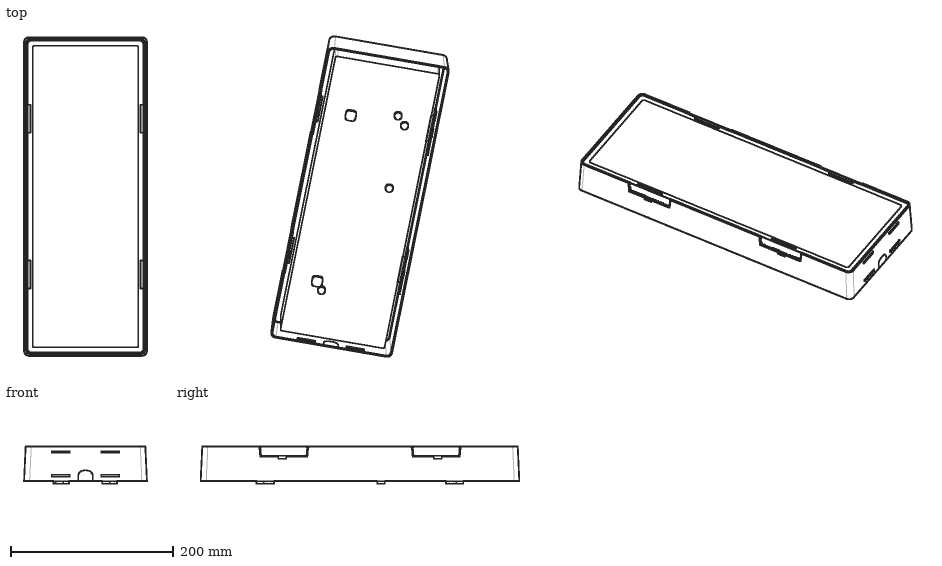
import cadquery as cq

length = 393.5
width = 152.0
height = 43.0
lean = 2.0
wall = 1.77
corner_radius = 6.5

lid_gap = 0.6
lid_thickness = 1.0
lid_width = width - 2 * (lean + wall + lid_gap)
lid_length = length - 2 * (lean + wall + lid_gap)
lid_radius = corner_radius - wall - lid_gap

notch_center = 94.0
notch_top_width = 60.5
notch_bottom_width = 58.3
notch_depth = 13.0
tab_gap = 1.0
tab_outer_x = 73.0
tab_thickness = 1.5
tab_inner_x = tab_outer_x - tab_thickness
tongue_center = 96.0
tongue_width = 10.2
tongue_depth = 15.5
tongue_setback = 0.5
slot_length = 34.2
slot_width = 3.0

vent_center_x = 30.7
vent_width = 22.5
vent_height = 2.5
vent_heights = (6.3, 36.0)
end_reach = 8.0
opening_width = 18.0
opening_height = 13.0
opening_radius = 7.0

core_width = 130.5
core_length = 372.5
core_radius = 2.5
foot_height = 3.5
round_foot_diameter = 9.5
round_foot_centers = [(-35.0, 111.5), (-24.8, 123.0), (-32.0, 26.0), (25.0, -123.0)]
square_foot_size = 13.0
square_foot_radius = 4.0
square_foot_centers = [(32.5, 112.5), (32.5, -112.5)]

clip_sides = [(side, end) for side in (-1, 1) for end in (-1, 1)]
lid_bottom = height - lid_thickness


def rounded_outline(size_x, size_y, radius):
    return cq.Sketch().rect(size_x, size_y).vertices().fillet(radius)


def leaning_block(inset):
    """Solid with the leaning outer sides, made smaller by an inset all around."""
    radius = corner_radius - inset
    bottom = rounded_outline(width - 2 * inset, length - 2 * inset, radius)
    top_inset = inset + lean
    top = rounded_outline(width - 2 * top_inset, length - 2 * top_inset, radius)
    raised_top = top.moved(cq.Location(cq.Vector(0, 0, height)))
    return cq.Workplane("XY").placeSketch(bottom, raised_top).loft()


def clip_bar(side, end, gap):
    """Bar along X with the tapered clip outline, smaller than the notch by the gap."""
    half_top = notch_top_width / 2 - gap
    half_bottom = notch_bottom_width / 2 - gap
    center = end * notch_center
    bottom = height - notch_depth + gap
    return (
        cq.Workplane("YZ")
        .polyline([
            (center - half_top, height),
            (center + half_top, height),
            (center + half_bottom, bottom),
            (center - half_bottom, bottom),
        ])
        .close()
        .extrude(side * width)
    )


def tongue_block(side, end, inner_x, outer_x):
    """Short block below the clip, from the lid down to the end of the tongue."""
    center_x = side * (inner_x + outer_x) / 2
    depth = tongue_depth - lid_thickness
    return (
        cq.Workplane("XY", origin=(center_x, end * tongue_center, height - tongue_depth))
        .box(outer_x - inner_x, tongue_width, depth, centered=(True, True, False))
    )


def opening_prism():
    """Arched cable opening through the -Y end, reaching down to the housing bottom."""
    return (
        cq.Workplane("XY", origin=(0, -length / 2, 0))
        .box(opening_width, 2 * end_reach, opening_height, centered=(True, True, False))
        .edges("|Y and >Z")
        .fillet(opening_radius)
    )


def make_frame():
    """Housing walls before any notch or opening."""
    return leaning_block(0).cut(leaning_block(wall))


def make_housing():
    housing = make_frame()
    for side, end in clip_sides:
        housing = housing.cut(clip_bar(side, end, 0))
        housing = housing.cut(tongue_block(side, end, tab_inner_x, width / 2))
    vents = (
        cq.Workplane("XZ", origin=(0, -length / 2 + end_reach, 0))
        .pushPoints([(x, z) for x in (-vent_center_x, vent_center_x) for z in vent_heights])
        .rect(vent_width, vent_height)
        .extrude(end_reach)
    )
    return housing.cut(vents).cut(opening_prism())


def make_plug():
    """Filler of the cable opening, flush with the housing wall on both faces."""
    return make_frame().intersect(opening_prism())


def make_lid():
    """Plate with its hanging clips and the openings behind them."""
    lid = (
        cq.Workplane("XY", origin=(0, 0, lid_bottom))
        .placeSketch(rounded_outline(lid_width, lid_length, lid_radius))
        .extrude(lid_thickness)
    )
    tab_space = (
        cq.Workplane("XY")
        .rect(2 * tab_outer_x, length)
        .rect(2 * tab_inner_x, length)
        .extrude(height)
    )
    for side, end in clip_sides:
        lid = lid.union(clip_bar(side, end, tab_gap).intersect(tab_space))
        lid = lid.union(tongue_block(side, end, tab_inner_x, tab_outer_x - tongue_setback))
    slot_x = tab_inner_x - slot_width / 2
    slots = (
        cq.Workplane("XY", origin=(0, 0, lid_bottom))
        .pushPoints([(side * slot_x, end * tongue_center) for side, end in clip_sides])
        .rect(slot_width, slot_length)
        .extrude(lid_thickness)
    )
    return lid.cut(slots)


def make_core():
    """Block with round and square feet."""
    core = (
        cq.Workplane("XY")
        .placeSketch(rounded_outline(core_width, core_length, core_radius))
        .extrude(lid_bottom)
    )
    foot_base = cq.Workplane("XY", origin=(0, 0, -foot_height))
    round_feet = foot_base.pushPoints(round_foot_centers).circle(round_foot_diameter / 2).extrude(foot_height)
    square_feet = (
        foot_base.pushPoints(square_foot_centers)
        .rect(square_foot_size, square_foot_size)
        .extrude(foot_height)
        .edges("|Z")
        .fillet(square_foot_radius)
    )
    return core.union(round_feet).union(square_feet)


housing = make_housing()
lid = make_lid()
core = make_core()
plug = make_plug()

result = cq.Compound.makeCompound([
    housing.solids().val(),
    lid.solids().val(),
    core.solids().val(),
    plug.solids().val(),
])